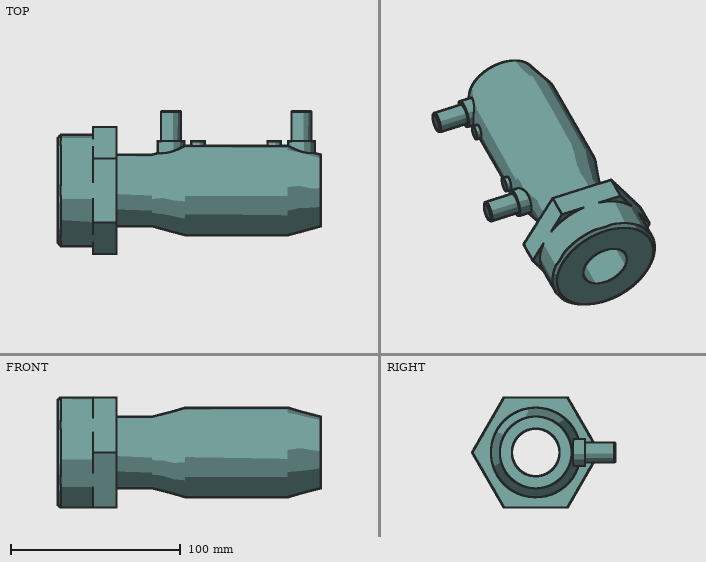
import cadquery as cq
import math

length = 155.0
collar_end = 20.8
nut_end = 34.7
neck_end = 55.6
body_start = 75.2
body_end = 135.6

across_flats = 65.0
collar_diameter = 65.7
collar_chamfer = 2.0
neck_diameter = 42.3
body_diameter = 52.9
bore_diameter = 27.9

terminal_positions = (66.8, 143.7)
terminal_diameter = 12.0
terminal_top = 47.0
terminal_chamfer = 0.8
boss_diameter = 16.0
button_positions = (82.8, 127.5)
button_diameter = 8.2
pad_top = 29.1
stud_root = 17.0


def make_nut():
    """Hexagonal nut whose collar is a chamfered cylinder trimmed by the flats."""
    across_corners = across_flats / math.cos(math.radians(30))
    hexagon = cq.Workplane("YZ").polygon(6, across_corners).extrude(nut_end)
    collar = (
        cq.Workplane("YZ")
        .circle(collar_diameter / 2)
        .extrude(collar_end)
        .faces("<X")
        .chamfer(collar_chamfer)
    )
    flange = hexagon.intersect(
        cq.Workplane("YZ", origin=(collar_end, 0, 0))
        .circle(across_corners)
        .extrude(nut_end - collar_end)
    )
    return collar.intersect(hexagon).union(flange)


def make_sleeve():
    """Revolved neck and body with a taper at each end of the body."""
    neck_radius = neck_diameter / 2
    body_radius = body_diameter / 2
    return (
        cq.Workplane("XY")
        .moveTo(collar_end, 0)
        .lineTo(collar_end, neck_radius)
        .lineTo(neck_end, neck_radius)
        .lineTo(body_start, body_radius)
        .lineTo(body_end, body_radius)
        .lineTo(length, neck_radius)
        .lineTo(length, 0)
        .close()
        .revolve(360, (0, 0, 0), (1, 0, 0))
    )


def make_stud(x, diameter, top):
    """Cylinder along +Y, rooted in the sleeve wall."""
    return (
        cq.Workplane("XZ", origin=(x, stud_root, 0))
        .circle(diameter / 2)
        .extrude(-(top - stud_root))
    )


result = make_nut().union(make_sleeve())

for x in terminal_positions:
    pin = make_stud(x, terminal_diameter, terminal_top).faces(">Y").chamfer(terminal_chamfer)
    result = result.union(make_stud(x, boss_diameter, pad_top)).union(pin)

for x in button_positions:
    result = result.union(make_stud(x, button_diameter, pad_top))

bore = cq.Workplane("YZ").circle(bore_diameter / 2).extrude(length)
result = result.cut(bore)